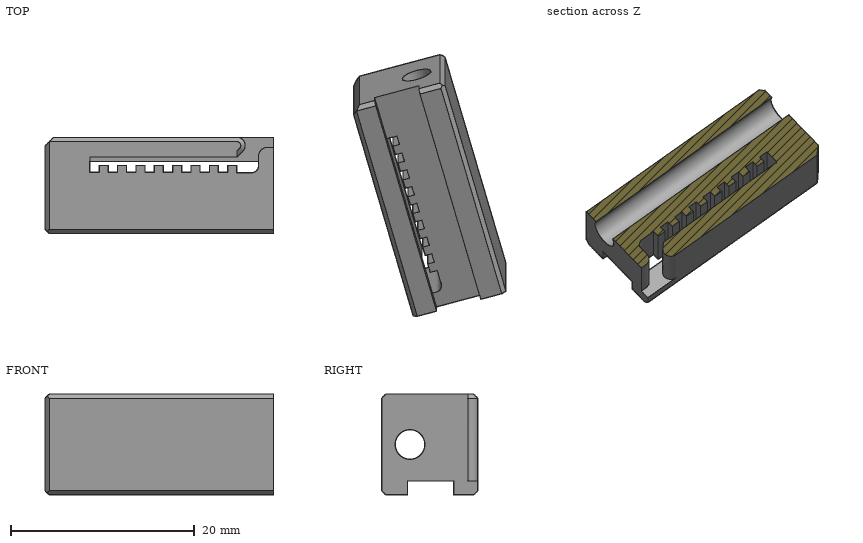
import cadquery as cq
import math

LENGTH = 24.9
WIDTH = 10.5
HEIGHT = 11.0

DIAGONAL_SHARE = math.sqrt(0.5)
ARC_MID_INSET = 1 - DIAGONAL_SHARE

EDGE_CHAMFER = 0.475
CORNER_CHAMFER = 2 * EDGE_CHAMFER

HOLE_DIAMETER = 3.2
HOLE_Y = 3.1
HOLE_Z = HEIGHT / 2

CHANNEL_WIDTH = 5.0
CHANNEL_DEPTH = 1.5
CHANNEL_START_Y = 2.85

SLOT_START_X = 4.9
SLOT_FRONT_Y = 6.7
RELIEF_FRONT_Y = 6.65
SLOT_FLOOR_Z = CHANNEL_DEPTH

TOOTH_COUNT = 8
TOOTH_WIDTH = 1.0
TOOTH_PITCH = 2 * TOOTH_WIDTH
TOOTH_HEIGHT = 0.75

ARM_INNER_Y = 8.35
ARM_END_X = SLOT_START_X + TOOTH_COUNT * TOOTH_PITCH
TIP_RADIUS = 0.9

POST_THICKNESS = 1.65
POST_X = LENGTH - POST_THICKNESS
POST_BACK_Y = 9.4
POST_ROUND = 1.0
SLOT_END_ROUND = 0.75


def make_body():
    """Block whose bevels come from intersecting its three profiles."""
    plan = (
        cq.Workplane("XY")
        .moveTo(EDGE_CHAMFER, 0)
        .lineTo(LENGTH, 0)
        .lineTo(LENGTH, WIDTH)
        .lineTo(CORNER_CHAMFER, WIDTH)
        .lineTo(0, WIDTH - CORNER_CHAMFER)
        .lineTo(0, EDGE_CHAMFER)
        .close()
        .extrude(HEIGHT)
    )
    block = cq.Workplane("XY").box(LENGTH, WIDTH, HEIGHT, centered=False)
    long_bevels = block.edges("|X").chamfer(EDGE_CHAMFER)
    end_bevels = block.faces("<X").edges("|Y").chamfer(EDGE_CHAMFER)
    return plan.intersect(long_bevels).intersect(end_bevels)


def make_hole():
    return cq.Workplane("YZ").center(HOLE_Y, HOLE_Z).circle(HOLE_DIAMETER / 2).extrude(LENGTH)


def make_channel():
    channel = cq.Workplane("XY").box(LENGTH, CHANNEL_WIDTH, CHANNEL_DEPTH, centered=False)
    return channel.translate((0, CHANNEL_START_Y, 0))


def make_slot():
    """Pocket between body, arm and post, open to the back and to the +X end."""
    post_arc = POST_ROUND * ARC_MID_INSET
    end_arc = SLOT_END_ROUND * ARC_MID_INSET
    return (
        cq.Workplane("XY", origin=(0, 0, SLOT_FLOOR_Z))
        .moveTo(SLOT_START_X, SLOT_FRONT_Y)
        .lineTo(ARM_END_X, SLOT_FRONT_Y)
        .lineTo(ARM_END_X, RELIEF_FRONT_Y)
        .lineTo(POST_X - SLOT_END_ROUND, RELIEF_FRONT_Y)
        .threePointArc(
            (POST_X - end_arc, RELIEF_FRONT_Y + end_arc),
            (POST_X, RELIEF_FRONT_Y + SLOT_END_ROUND),
        )
        .lineTo(POST_X, POST_BACK_Y - POST_ROUND)
        .threePointArc(
            (POST_X + post_arc, POST_BACK_Y - post_arc),
            (POST_X + POST_ROUND, POST_BACK_Y),
        )
        .lineTo(LENGTH, POST_BACK_Y)
        .lineTo(LENGTH, WIDTH)
        .lineTo(ARM_END_X, WIDTH)
        .lineTo(ARM_END_X, ARM_INNER_Y)
        .lineTo(SLOT_START_X, ARM_INNER_Y)
        .close()
        .extrude(HEIGHT - SLOT_FLOOR_Z)
    )


def make_teeth():
    """Row of vertical teeth standing off the front wall of the slot."""
    teeth = cq.Workplane("XY")
    tooth = cq.Workplane("XY").box(
        TOOTH_WIDTH, TOOTH_HEIGHT, HEIGHT - SLOT_FLOOR_Z, centered=False
    )
    for index in range(TOOTH_COUNT):
        tooth_x = SLOT_START_X + TOOTH_WIDTH + index * TOOTH_PITCH
        teeth = teeth.add(tooth.translate((tooth_x, SLOT_FRONT_Y, SLOT_FLOOR_Z)))
    return teeth.combine()


def make_arm_tip():
    """Rounded nose on the arm, running out to its inner face at 45 degrees."""
    centre_y = WIDTH - TIP_RADIUS
    diagonal = TIP_RADIUS * DIAGONAL_SHARE
    tangent_x = ARM_END_X + diagonal
    tangent_y = centre_y - diagonal
    tip = (
        cq.Workplane("XY", origin=(0, 0, SLOT_FLOOR_Z))
        .moveTo(ARM_END_X, ARM_INNER_Y)
        .lineTo(tangent_x - (tangent_y - ARM_INNER_Y), ARM_INNER_Y)
        .lineTo(tangent_x, tangent_y)
        .threePointArc((ARM_END_X + diagonal, centre_y + diagonal), (ARM_END_X, WIDTH))
        .close()
        .extrude(HEIGHT - SLOT_FLOOR_Z)
    )
    nose_edges = tip.faces(">Z").edges("not(<X or <Y)")
    return nose_edges.chamfer(EDGE_CHAMFER)


result = (
    make_body()
    .cut(make_hole())
    .cut(make_slot())
    .cut(make_channel())
    .union(make_teeth())
    .union(make_arm_tip())
)